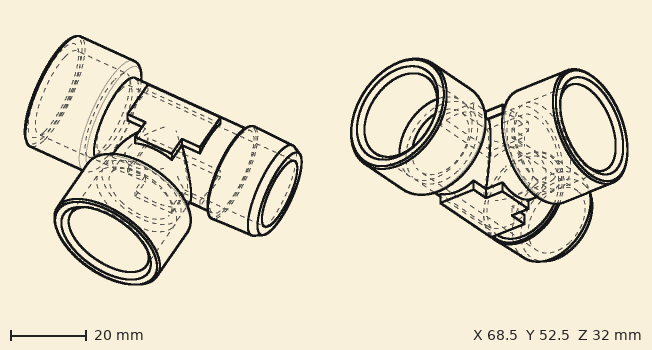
import cadquery as cq
import math

socket_reach = 36.5
spigot_reach = 32.0
neck_radius = 12.0
bore_radius = 9.5

socket_diameter = 32.0
socket_radius = socket_diameter / 2
socket_length = 19.05
socket_rim_chamfer = 0.55
shoulder_slope = math.radians(15)
shoulder_round = 1.5
mouth_radius = 13.55
thread_radius = 12.1
mouth_depth = 1.4
thread_depth = 16.45
drill_cone_length = 2.05

spigot_length = 14.5
spigot_base_radius = 13.4
spigot_tip_radius = 13.1
spigot_base_chamfer = 0.35
spigot_end_radius = 11.9
spigot_lead_in = 2.25

pad_half_height = 13.4
pad_length = 21.9
pad_width = 11.1
pad_stem_length = 5.5


def turned(outline):
    """Revolve a closed (X, radius) outline about the X axis."""
    return outline.close().revolve(360, (0, 0, 0), (1, 0, 0))


def to_branch(body):
    """Turn a body from the -X end of the run to the -Y branch."""
    return body.rotate((0, 0, 0), (0, 0, 1), 90)


def socket_arm():
    """Solid female arm pointing to -X, from its open face to the origin."""
    face = -socket_reach
    back = face + socket_length
    round_turn = math.pi / 2 - shoulder_slope
    round_centre_radius = socket_radius - shoulder_round
    slope_radius = round_centre_radius + shoulder_round * math.cos(round_turn)
    slope_start = back - (slope_radius - neck_radius) * math.tan(shoulder_slope)
    shoulder = slope_start - shoulder_round * math.sin(round_turn)
    round_middle = (
        shoulder + shoulder_round * math.sin(round_turn / 2),
        round_centre_radius + shoulder_round * math.cos(round_turn / 2),
    )
    outline = (
        cq.Workplane("XY")
        .moveTo(face, 0)
        .lineTo(face, socket_radius - socket_rim_chamfer)
        .lineTo(face + socket_rim_chamfer, socket_radius)
        .lineTo(shoulder, socket_radius)
        .threePointArc(round_middle, (slope_start, slope_radius))
        .lineTo(back, neck_radius)
        .lineTo(0, neck_radius)
        .lineTo(0, 0)
    )
    return turned(outline)


def socket_cavity():
    """Threaded mouth, drill cone and through bore of a female arm."""
    face = -socket_reach
    thread_end = face + thread_depth
    outline = (
        cq.Workplane("XY")
        .moveTo(face, 0)
        .lineTo(face, mouth_radius)
        .lineTo(face + mouth_depth, thread_radius)
        .lineTo(thread_end, thread_radius)
        .lineTo(thread_end + drill_cone_length, bore_radius)
        .lineTo(0, bore_radius)
        .lineTo(0, 0)
    )
    return turned(outline)


def spigot_arm():
    """Solid male arm pointing to +X, with a tapered thread body."""
    base = spigot_reach - spigot_length
    outline = (
        cq.Workplane("XY")
        .lineTo(0, neck_radius)
        .lineTo(base, neck_radius)
        .lineTo(base, spigot_base_radius - spigot_base_chamfer)
        .lineTo(base + spigot_base_chamfer, spigot_base_radius)
        .lineTo(spigot_reach - spigot_lead_in, spigot_tip_radius)
        .lineTo(spigot_reach, spigot_end_radius)
        .lineTo(spigot_reach, 0)
    )
    return turned(outline)


def wrench_pads():
    """T-shaped block whose flat faces stand proud of the necks."""
    height = 2 * pad_half_height
    bar = cq.Workplane("XY").box(pad_length, pad_width, height)
    stem_reach = pad_width / 2 + pad_stem_length
    stem = cq.Workplane("XY").box(pad_width, stem_reach, height).translate((0, -stem_reach / 2, 0))
    return bar.union(stem)


body = socket_arm().union(spigot_arm()).union(to_branch(socket_arm())).union(wrench_pads())
spigot_bore = cq.Workplane("YZ").circle(bore_radius).extrude(spigot_reach)
result = body.cut(socket_cavity()).cut(to_branch(socket_cavity())).cut(spigot_bore)